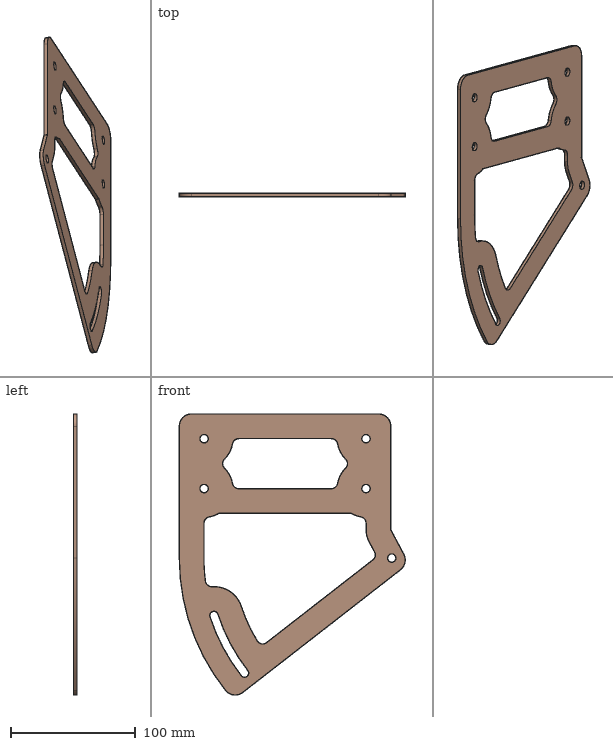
import math

import cadquery as cq

thickness = 3.0
plate_width = 170.0
margin = 20.0
hole_diameter = 6.5
hole_clearance_radius = margin + hole_diameter / 2

pivot_x = 170.66
pivot_z = -115.8
edge_arc_radius = pivot_x

mount_left_x = margin
mount_right_x = plate_width - margin
mount_spacing_z = 40.0
mount_top_z = -margin
mount_bottom_z = mount_top_z - mount_spacing_z
window_center_x = (mount_left_x + mount_right_x) / 2
window_center_z = (mount_top_z + mount_bottom_z) / 2

slot_radius = 150.0
slot_start_angle = 17.9
slot_end_angle = 38.0

bar_angle = 37.88
bar_edge_offset = 11.8
ear_start_z = -93.15
ear_angle = 61.98

corner_radius = 10.0
opening_corner_radius = 5.0
pocket_top_z = mount_bottom_z - margin


def polar(radius, angle):
    """Point at a radius from the pivot, at an angle below the -X direction."""
    a = math.radians(angle)
    return (pivot_x - radius * math.cos(a), pivot_z - radius * math.sin(a))


def extrude(sketch):
    """Extrude an XZ profile from Y = 0 through the plate thickness."""
    return sketch.extrude(-thickness)


def disc(x, z, radius):
    return extrude(cq.Workplane("XZ").center(x, z).circle(radius))


def round_corners(body, corners, radius):
    """Fillet the through-thickness edge nearest to each (x, z) corner."""
    for x, z in corners:
        nearest = cq.selectors.NearestToPointSelector((x, thickness / 2, z))
        body = body.edges("|Y").edges(nearest).fillet(radius)
    return body


def ear_tip():
    """Sharp corner between the ear edge and the diagonal lower edge."""
    bar_slope = math.tan(math.radians(bar_angle))
    ear_slope = -math.tan(math.radians(ear_angle))
    bar_z_at_pivot = pivot_z - bar_edge_offset / math.cos(math.radians(bar_angle))
    bar_intercept = bar_z_at_pivot - bar_slope * pivot_x
    ear_intercept = ear_start_z - ear_slope * plate_width
    x = (ear_intercept - bar_intercept) / (bar_slope - ear_slope)
    return (x, bar_slope * x + bar_intercept)


def bottom_angle():
    """Angle at the pivot where the curved left edge meets the diagonal lower edge."""
    return bar_angle + math.degrees(math.asin(bar_edge_offset / edge_arc_radius))


def bottom_corner():
    """Sharp corner between the curved left edge and the diagonal lower edge."""
    return polar(edge_arc_radius, bottom_angle())


def outline():
    """Sharp-cornered outer profile."""
    return (
        cq.Workplane("XZ")
        .moveTo(0, 0)
        .lineTo(plate_width, 0)
        .lineTo(plate_width, ear_start_z)
        .lineTo(*ear_tip())
        .lineTo(*bottom_corner())
        .threePointArc(polar(edge_arc_radius, bottom_angle() / 2), (0, pivot_z))
        .close()
    )


def slot(half_width):
    """Curved slot about the pivot with round ends of the given half width."""
    middle_angle = (slot_start_angle + slot_end_angle) / 2
    outer = slot_radius + half_width
    inner = slot_radius - half_width
    band = extrude(
        cq.Workplane("XZ")
        .moveTo(*polar(outer, slot_start_angle))
        .threePointArc(polar(outer, middle_angle), polar(outer, slot_end_angle))
        .lineTo(*polar(inner, slot_end_angle))
        .threePointArc(polar(inner, middle_angle), polar(inner, slot_start_angle))
        .close()
    )
    for angle in (slot_start_angle, slot_end_angle):
        band = band.union(disc(*polar(slot_radius, angle), half_width))
    return band


def plate():
    """Solid plate with rounded corners; only the inward bend at the ear stays sharp."""
    corners = ((0, 0), (plate_width, 0), ear_tip(), bottom_corner())
    return round_corners(extrude(outline()), corners, corner_radius)


def window():
    """Upper opening, cut back around the four mounting holes."""
    opening = extrude(
        cq.Workplane("XZ")
        .center(window_center_x, window_center_z)
        .rect(mount_right_x - mount_left_x, mount_spacing_z)
    )
    for x in (mount_left_x, mount_right_x):
        for z in (mount_top_z, mount_bottom_z):
            opening = opening.cut(disc(x, z, hole_clearance_radius))
    return opening.edges("|Y").fillet(opening_corner_radius)


def pocket():
    """Lower opening: the outline inset by the margin, cut back around holes and slot."""
    opening = extrude(outline().offset2D(-margin))
    above = extrude(
        cq.Workplane("XZ")
        .center(plate_width / 2, pocket_top_z / 2)
        .rect(plate_width, -pocket_top_z)
    )
    opening = opening.cut(above)
    for x in (mount_left_x, mount_right_x):
        opening = opening.cut(disc(x, mount_bottom_z, hole_clearance_radius))
    opening = opening.cut(slot(hole_clearance_radius))

    under_hole_z = mount_bottom_z - hole_clearance_radius
    _, slot_start_z = polar(slot_radius, slot_start_angle)
    rounded_corners = (
        (mount_left_x, under_hole_z),
        (mount_right_x, under_hole_z),
        (mount_left_x, slot_start_z + hole_clearance_radius),
        polar(slot_radius - hole_clearance_radius, slot_end_angle),
        (pivot_x - margin / 2, pivot_z),
    )
    return round_corners(opening, rounded_corners, opening_corner_radius)


def holes():
    """Pivot hole and the four mounting holes."""
    cutter = disc(pivot_x, pivot_z, hole_diameter / 2)
    for x in (mount_left_x, mount_right_x):
        for z in (mount_top_z, mount_bottom_z):
            cutter = cutter.union(disc(x, z, hole_diameter / 2))
    return cutter


result = (
    plate()
    .cut(window())
    .cut(pocket())
    .cut(slot(hole_diameter / 2))
    .cut(holes())
)